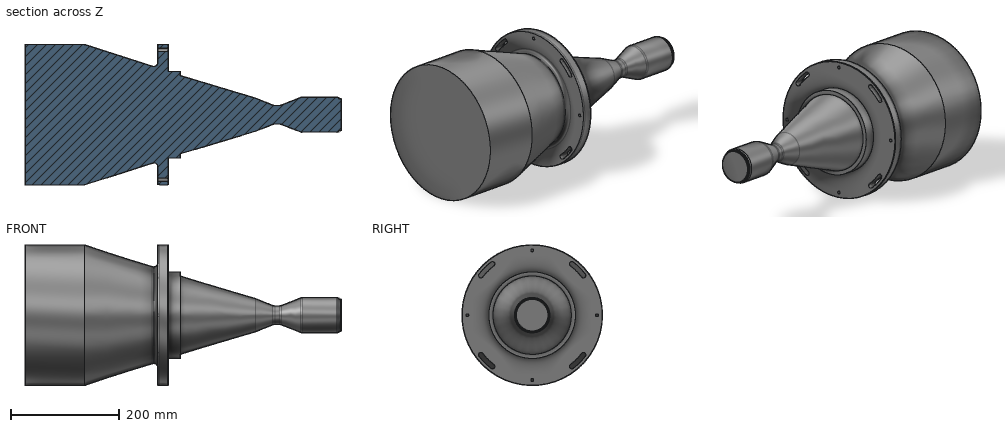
import cadquery as cq
import math

total_length = 584.5
drum_end = 110.0
rear_cone_end = 236.0
flange_start = 245.0
flange_end = 265.0
hub_end = 287.0
long_cone_end = 426.0
neck_start = 459.5
neck_end = 471.5
knob_start = 511.0
knob_end = 580.0

drum_radius = 260.0 / 2
flange_radius = drum_radius
collar_radius = 89.5
hub_radius = 80.0
long_cone_start_radius = 72.5
long_cone_end_radius = 61.5 / 2
neck_radius = 34.5 / 2
knob_radius = 33.0
tip_radius = 30.0

blend_radius = 10.0
flange_root_fillet = 7.0
flange_chamfer_length = 3.5
flange_back_chamfer_length = 2.0
flange_chamfer_depth = 0.5
knob_chamfer_length = 3.5
knob_chamfer_depth = 1.0
tip_chamfer_length = 2.0
tip_chamfer_depth = 0.5

hole_circle_radius = 120.0
slot_width = 9.0
slot_span = 14.5
slot_count = 4
pin_hole_diameter = 5.0
pin_hole_count = 4

FULL_TURN = 360.0
edge_tolerance = 0.05


def turned_body():
    """Solid of revolution with sharp cone corners."""
    outline = [
        (0, 0),
        (0, drum_radius),
        (drum_end, drum_radius),
        (rear_cone_end, collar_radius),
        (flange_start, collar_radius),
        (flange_start, flange_radius - flange_chamfer_depth),
        (flange_start + flange_chamfer_length, flange_radius),
        (flange_end - flange_back_chamfer_length, flange_radius),
        (flange_end, flange_radius - flange_chamfer_depth),
        (flange_end, hub_radius),
        (hub_end, hub_radius),
        (hub_end, long_cone_start_radius),
        (long_cone_end, long_cone_end_radius),
        (neck_start, neck_radius),
        (neck_end, neck_radius),
        (knob_start, knob_radius),
        (knob_end - knob_chamfer_length, knob_radius),
        (knob_end, knob_radius - knob_chamfer_depth),
        (knob_end, tip_radius),
        (total_length - tip_chamfer_length, tip_radius),
        (total_length, tip_radius - tip_chamfer_depth),
        (total_length, 0),
    ]
    profile = cq.Workplane("XY").polyline(outline).close()
    return profile.revolve(FULL_TURN, (0, 0, 0), (1, 0, 0))


def round_circle_at(body, x, radius, fillet_radius):
    """Fillet the circular edge of the given radius that lies at station x."""
    edges = [
        edge
        for edge in body.edges("%CIRCLE").vals()
        if abs(edge.Center().x - x) < edge_tolerance
        and abs(edge.radius() - radius) < edge_tolerance
    ]
    return body.newObject(edges).fillet(fillet_radius)


def polar(radius, angle):
    """Point in the YZ plane at the given radius and angle in degrees from +Y."""
    turn = math.radians(angle)
    return (radius * math.cos(turn), radius * math.sin(turn))


def slot_cutter(mid_angle):
    """Curved slot with rounded ends, centred at mid_angle on the hole circle."""
    half_width = slot_width / 2
    first_angle = mid_angle - slot_span / 2
    last_angle = mid_angle + slot_span / 2
    inner = hole_circle_radius - half_width
    outer = hole_circle_radius + half_width
    end_bulge = math.degrees(half_width / hole_circle_radius)
    return (
        cq.Workplane("YZ", origin=(flange_start, 0, 0))
        .moveTo(*polar(inner, first_angle))
        .threePointArc(polar(inner, mid_angle), polar(inner, last_angle))
        .threePointArc(polar(hole_circle_radius, last_angle + end_bulge), polar(outer, last_angle))
        .threePointArc(polar(outer, mid_angle), polar(outer, first_angle))
        .threePointArc(polar(hole_circle_radius, first_angle - end_bulge), polar(inner, first_angle))
        .close()
        .extrude(flange_end - flange_start)
    )


def pin_hole_cutters():
    """Small round holes on the Y and Z axes of the flange."""
    return (
        cq.Workplane("YZ", origin=(flange_start, 0, 0))
        .polarArray(hole_circle_radius, 0, FULL_TURN, pin_hole_count)
        .circle(pin_hole_diameter / 2)
        .extrude(flange_end - flange_start)
    )


result = turned_body()

result = round_circle_at(result, flange_start, collar_radius, flange_root_fillet)
for corner_x, corner_radius in [
    (rear_cone_end, collar_radius),
    (neck_start, neck_radius),
    (neck_end, neck_radius),
    (knob_start, knob_radius),
]:
    result = round_circle_at(result, corner_x, corner_radius, blend_radius)

slot_pitch = FULL_TURN / slot_count
for index in range(slot_count):
    result = result.cut(slot_cutter((index + 0.5) * slot_pitch))
result = result.cut(pin_hole_cutters())